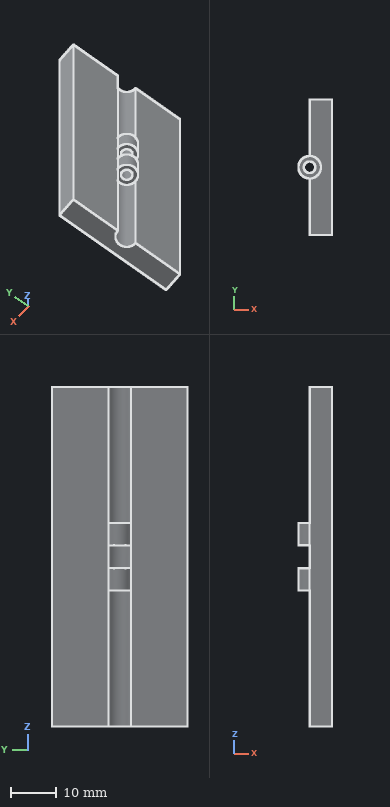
import cadquery as cq

total_depth = 7.5
plate_width = 30.0
plate_height = 75.0

knuckle_radius = total_depth / 3
plate_thickness = 2 * knuckle_radius
pin_hole_diameter = knuckle_radius
knuckle_height = 2 * knuckle_radius
knuckle_pitch = 2 * knuckle_height


def cylinder(diameter, height, center_z):
    """Upright cylinder on the hinge axis, centred on the given height."""
    return (
        cq.Workplane("XY", origin=(0, 0, center_z - height / 2))
        .circle(diameter / 2)
        .extrude(height)
    )


plate = cq.Workplane("XY").box(
    plate_thickness, plate_width, plate_height, centered=(False, True, True)
)

result = plate.cut(cylinder(2 * knuckle_radius, plate_height, 0))

for center_z in (-knuckle_pitch / 2, knuckle_pitch / 2):
    result = result.union(cylinder(2 * knuckle_radius, knuckle_height, center_z))

result = result.cut(cylinder(pin_hole_diameter, plate_height, 0))